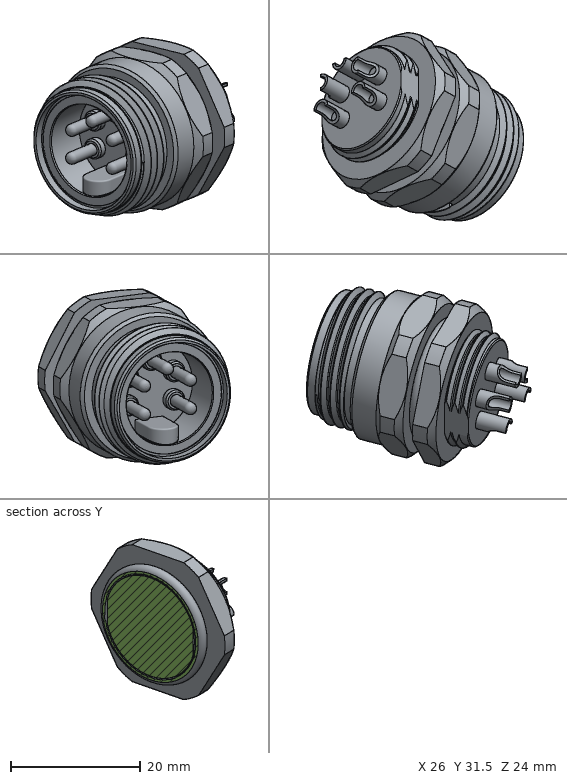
import cadquery as cq
import math


THREAD_FRONT = 1.6
THREAD_REAR = 6.5
COLLAR_FRONT = 8.0
FLANGE_FRONT = 12.5
FLANGE_REAR = 17.0
NUT_FRONT = 19.0
NUT_REAR = 22.5
BODY_REAR = 26.5
CUP_REAR = 31.5

RIM_RADIUS = 10.0
RIM_CHAMFER = 0.33
NECK_RADIUS = 10.15
COLLAR_RADIUS = 11.95
COLLAR_CHAMFER = 0.5
BORE_RADIUS = 9.27
SHELF_RECESS = 1.4
INSERT_RADIUS = 8.87
INSERT_RECESS = 1.2
CAVITY_RADIUS = 7.42
CAVITY_MOUTH_RADIUS = 7.52
CAVITY_LEAD_IN = 0.3
CAVITY_FLOOR = 8.6

HEX_ACROSS_FLATS = 24.0
HEX_ACROSS_CORNERS = HEX_ACROSS_FLATS / math.cos(math.pi / 6)
HEX_CORNER_RADIUS = 13.0
HEX_CHAMFER = HEX_CORNER_RADIUS - COLLAR_RADIUS

SEAL_SECTION_RADIUS = (NUT_FRONT - FLANGE_REAR) / 2
SEAL_RADIUS = 9.05

SHANK_RADIUS = 8.65
SHANK_CHAMFER = 0.2
SHANK_FLAT_OFFSET = 8.37

FRONT_CREST_RADIUS = 11.0
FRONT_PITCH = 25.4 / 16
FRONT_START = 1.3
FRONT_TURNS = 3.25
REAR_CREST_RADIUS = 9.3
REAR_PITCH = 25.4 / 18
REAR_TURNS = 3.0
REAR_START = 25.7 - REAR_TURNS * REAR_PITCH
CREST_WIDTH = 0.12
ROOT_GAP = 0.1
ROOT_OVERLAP = 0.1

CONTACT_CIRCLE_RADIUS = 4.57
PIN_RADIUS = 0.97
PIN_TIP_FLAT = 0.15
PIN_FRONT = 1.3
PIN_COLLAR_RADIUS = 1.62
PIN_COLLAR_FRONT = 7.3
PIN_COLLAR_CHAMFER = 0.27
CUP_RADIUS = 1.43
CUP_BORE_RADIUS = 0.95
CUP_BORE_DEPTH = 3.5
CUP_NOTCH_LENGTH = 3.3
CUP_NOTCH_FILLET = 1.9
CONTACTS = [(90, 90), (30, 0), (150, 180), (210, 270), (330, 270)]

KEY_WIDTH = 4.9
KEY_TOP = -4.9
KEY_FRONT = 1.4
KEY_FILLET = 0.25


def revolved(profile):
    """Revolve a closed list of (radius, y) points about the Y axis."""
    return cq.Workplane("XY").polyline(profile).close().revolve(360, (0, 0), (0, 1))


def cylinder(radius, front, rear, x=0.0, z=0.0):
    return cq.Workplane("XZ", origin=(x, front, z)).circle(radius).extrude(front - rear)


def hexagon(front, rear, front_chamfer):
    """Hexagonal prism with corners turned down and its ends chamfered conically."""
    prism = (
        cq.Workplane("XZ", origin=(0, front, 0))
        .polygon(6, HEX_ACROSS_CORNERS)
        .extrude(front - rear)
    )
    blank = cylinder(HEX_CORNER_RADIUS, front, rear).faces(">Y").chamfer(HEX_CHAMFER)
    if front_chamfer:
        blank = blank.faces("<Y").chamfer(HEX_CHAMFER)
    return prism.intersect(blank)


def thread_ridge(root_radius, crest_radius, pitch, start, turns):
    """Right-handed V-shaped ridge wound about the Y axis."""
    base_radius = root_radius - ROOT_OVERLAP
    half_root = (pitch - ROOT_GAP) / 2
    half_crest = CREST_WIDTH / 2
    helix = cq.Wire.makeHelix(pitch, turns * pitch, base_radius)
    ridge = (
        cq.Workplane("XZ")
        .polyline([
            (base_radius, -half_root),
            (crest_radius, -half_crest),
            (crest_radius, half_crest),
            (base_radius, half_root),
        ])
        .close()
        .sweep(cq.Workplane(helix), isFrenet=True)
    )
    return ridge.rotate((0, 0, 0), (1, 0, 0), -90).translate((0, start, 0))


def make_shell():
    """Threaded mating shell with collar, still solid inside."""
    rim = cylinder(RIM_RADIUS, 0, THREAD_FRONT).faces("<Y").chamfer(RIM_CHAMFER)
    neck = cylinder(NECK_RADIUS, THREAD_FRONT, COLLAR_FRONT)
    ridge = thread_ridge(NECK_RADIUS, FRONT_CREST_RADIUS, FRONT_PITCH, FRONT_START, FRONT_TURNS)
    envelope = cylinder(COLLAR_RADIUS, THREAD_FRONT, THREAD_REAR)
    envelope = envelope.faces("<Y").chamfer(COLLAR_RADIUS - NECK_RADIUS)
    ridge = ridge.intersect(envelope)
    collar = cylinder(COLLAR_RADIUS, COLLAR_FRONT, FLANGE_FRONT).faces("<Y").chamfer(COLLAR_CHAMFER)
    return neck.union(ridge).union(rim).union(collar)


def make_shank():
    """Threaded shank behind the flange, cut by a flat on each side."""
    core = cylinder(SHANK_RADIUS, FLANGE_REAR, BODY_REAR).faces(">Y").chamfer(SHANK_CHAMFER)
    ridge = thread_ridge(SHANK_RADIUS, REAR_CREST_RADIUS, REAR_PITCH, REAR_START, REAR_TURNS)
    length = BODY_REAR - FLANGE_REAR
    between_flats = cq.Workplane("XY").box(
        2 * SHANK_FLAT_OFFSET, length, 2 * HEX_CORNER_RADIUS, centered=(True, False, True)
    )
    return core.union(ridge).intersect(between_flats.translate((0, FLANGE_REAR, 0)))


def make_seal():
    return (
        cq.Workplane("XY")
        .center(SEAL_RADIUS, FLANGE_REAR + SEAL_SECTION_RADIUS)
        .circle(SEAL_SECTION_RADIUS)
        .revolve(360, (-SEAL_RADIUS, 0), (-SEAL_RADIUS, 1))
    )


def make_cavity():
    """Rim bore around the raised insert face, then the contact cavity inside the insert."""
    return revolved([
        (0, 0),
        (BORE_RADIUS, 0),
        (BORE_RADIUS, SHELF_RECESS),
        (INSERT_RADIUS, SHELF_RECESS),
        (INSERT_RADIUS, INSERT_RECESS),
        (CAVITY_MOUTH_RADIUS, INSERT_RECESS),
        (CAVITY_RADIUS, INSERT_RECESS + CAVITY_LEAD_IN),
        (CAVITY_RADIUS, CAVITY_FLOOR),
        (0, CAVITY_FLOOR),
    ])


def make_key():
    """Key with a round front end, standing on the cavity wall and floor."""
    half_width = KEY_WIDTH / 2
    bottom = -(CAVITY_RADIUS + BORE_RADIUS) / 2
    rear = CAVITY_FLOOR + KEY_FILLET
    round_center = KEY_FRONT + half_width
    key = (
        cq.Workplane("XY", origin=(0, 0, bottom))
        .moveTo(-half_width, rear)
        .lineTo(-half_width, round_center)
        .threePointArc((0, KEY_FRONT), (half_width, round_center))
        .lineTo(half_width, rear)
        .close()
        .extrude(KEY_TOP - bottom)
        .faces(">Z")
        .fillet(KEY_FILLET)
    )
    return key.intersect(cylinder(CAVITY_RADIUS, 0, CAVITY_FLOOR))


def make_pin():
    """Round-nosed contact pin and its base collar, on the Y axis."""
    pin = cylinder(PIN_RADIUS, PIN_FRONT, CAVITY_FLOOR).faces("<Y").edges().fillet(PIN_RADIUS - PIN_TIP_FLAT)
    collar = cylinder(PIN_COLLAR_RADIUS, PIN_COLLAR_FRONT, CAVITY_FLOOR)
    return pin.union(collar.faces("<Y").chamfer(PIN_COLLAR_CHAMFER))


def make_solder_cup():
    """Solder cup on the Y axis, opening toward +X."""
    cup = cylinder(CUP_RADIUS, BODY_REAR, CUP_REAR)
    bore = cylinder(CUP_BORE_RADIUS, CUP_REAR - CUP_BORE_DEPTH, CUP_REAR)
    notch_front = CUP_REAR - CUP_NOTCH_LENGTH
    arc_middle = CUP_NOTCH_FILLET * (1 - math.sqrt(0.5))
    notch = (
        cq.Workplane("XY")
        .moveTo(0, CUP_REAR)
        .lineTo(0, notch_front + CUP_NOTCH_FILLET)
        .threePointArc((arc_middle, notch_front + arc_middle), (CUP_NOTCH_FILLET, notch_front))
        .lineTo(CUP_NOTCH_FILLET, CUP_REAR)
        .close()
        .extrude(CUP_RADIUS, both=True)
    )
    return cup.cut(bore).cut(notch)


def make_contact(position_angle, opening_angle):
    angle = math.radians(position_angle)
    x = CONTACT_CIRCLE_RADIUS * math.cos(angle)
    z = CONTACT_CIRCLE_RADIUS * math.sin(angle)
    cup = make_solder_cup().rotate((0, 0, 0), (0, 1, 0), -opening_angle)
    return make_pin().translate((x, 0, z)), cup.translate((x, 0, z))


result = make_shell().union(hexagon(FLANGE_FRONT, FLANGE_REAR, True))
result = result.union(make_shank()).union(make_seal())
result = result.union(hexagon(NUT_FRONT, NUT_REAR, False))
result = result.cut(make_cavity()).union(make_key())
for position, opening in CONTACTS:
    pin, cup = make_contact(position, opening)
    result = result.union(pin).union(cup)